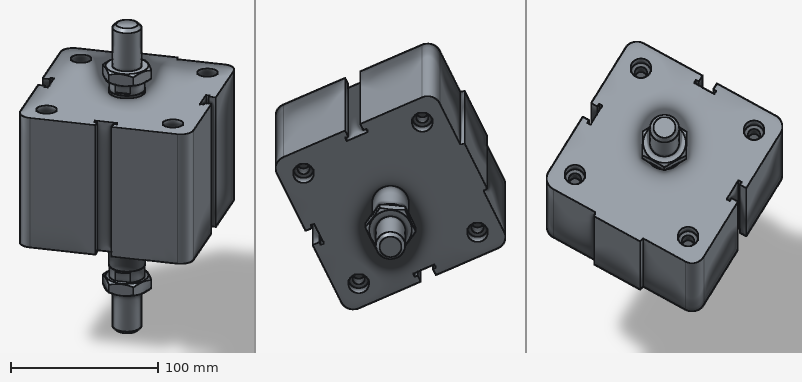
import cadquery as cq
import math

HOUSING_WIDTH = 122.0
HOUSING_HEIGHT = 96.3
CORNER_RADIUS = 9.0

RIB_HEIGHT = 3.0
RIB_BASE_WIDTH = 37.5
RIB_TOP_WIDTH = 36.2

SLOT_DEPTH = 7.5
SLOT_LIP = 5.0
SLOT_OPENING = 11.3
SLOT_INNER_WIDTH = 15.9

BOLT_SPACING = 89.0
BOLT_HOLE_DIAMETER = 8.4
COUNTERBORE_DIAMETER = 14.0
COUNTERBORE_DEPTH = 9.0
BOLT_HOLE_DEPTH = 19.3

ROD_LENGTH = 226.5
ROD_DIAMETER = 25.0
ROD_TOP_PROJECTION = 49.8
NECK_DIAMETER = 24.5
FLATS_WIDTH = 22.0
FLATS_LENGTH = 6.8
THREAD_DIAMETER = 20.0
THREAD_LENGTH = 39.9
SHOULDER_DISTANCE = 48.0
TIP_CHAMFER = 2.5

NUT_ACROSS_FLATS = 30.0
NUT_THICKNESS = 9.0
NUT_FACE_DIAMETER = 29.0
NUT_CHAMFER_ANGLE = 30.0

HALF_WIDTH = HOUSING_WIDTH / 2
ROD_TOP = HOUSING_HEIGHT + ROD_TOP_PROJECTION
ROD_MIDDLE = ROD_TOP - ROD_LENGTH / 2
NUT_ACROSS_CORNERS = NUT_ACROSS_FLATS / math.cos(math.radians(30))


def slot_cutter():
    """T-slot prism open at the -Y side, running the full housing height."""
    lip = cq.Workplane("XY").box(SLOT_OPENING, SLOT_LIP, HOUSING_HEIGHT, centered=(True, False, False))
    inner = (
        cq.Workplane("XY")
        .box(SLOT_INNER_WIDTH, SLOT_DEPTH - SLOT_LIP, HOUSING_HEIGHT, centered=(True, False, False))
        .translate((0, SLOT_LIP, 0))
    )
    return lip.union(inner).translate((0, -HALF_WIDTH, 0))


def bolt_holes_cutter():
    """Four blind counterbored holes sunk from the upper housing face."""
    at_corners = (
        cq.Workplane("XY", origin=(0, 0, HOUSING_HEIGHT))
        .rect(BOLT_SPACING, BOLT_SPACING, forConstruction=True)
        .vertices()
    )
    counterbores = at_corners.circle(COUNTERBORE_DIAMETER / 2).extrude(-COUNTERBORE_DEPTH)
    holes = at_corners.circle(BOLT_HOLE_DIAMETER / 2).extrude(-BOLT_HOLE_DEPTH)
    return counterbores.union(holes)


def make_housing():
    block = (
        cq.Workplane("XY")
        .box(HOUSING_WIDTH, HOUSING_WIDTH, HOUSING_HEIGHT, centered=(True, True, False))
        .edges("|Z")
        .fillet(CORNER_RADIUS)
    )
    rib = (
        cq.Workplane("XY")
        .polyline([
            (-RIB_BASE_WIDTH / 2, HALF_WIDTH),
            (-RIB_TOP_WIDTH / 2, HALF_WIDTH + RIB_HEIGHT),
            (RIB_TOP_WIDTH / 2, HALF_WIDTH + RIB_HEIGHT),
            (RIB_BASE_WIDTH / 2, HALF_WIDTH),
        ])
        .close()
        .extrude(HOUSING_HEIGHT)
    )
    housing = block.union(rib)

    for angle in (-90, 0, 90):
        housing = housing.cut(slot_cutter().rotate((0, 0, 0), (0, 0, 1), angle))

    upper_holes = bolt_holes_cutter()
    lower_holes = upper_holes.mirror("XY", (0, 0, HOUSING_HEIGHT / 2))
    housing = housing.cut(upper_holes).cut(lower_holes)

    return housing.cut(cq.Workplane("XY").circle(ROD_DIAMETER / 2).extrude(HOUSING_HEIGHT))


def neck_flats_cutter():
    """Block with a slab-shaped opening that trims the upper neck to its two flats."""
    top = ROD_TOP - THREAD_LENGTH
    cutter = cq.Workplane("XY").box(
        2 * ROD_DIAMETER, 2 * ROD_DIAMETER, FLATS_LENGTH, centered=(True, True, False)
    )
    slab = cq.Workplane("XY").box(
        2 * ROD_DIAMETER, FLATS_WIDTH, FLATS_LENGTH, centered=(True, True, False)
    )
    return cutter.cut(slab).translate((0, 0, top - FLATS_LENGTH))


def mirror_to_lower_end(shape):
    return shape.mirror("XY", (0, 0, ROD_MIDDLE))


def make_rod():
    upper_half = (
        cq.Workplane("XZ")
        .moveTo(0, ROD_MIDDLE)
        .lineTo(ROD_DIAMETER / 2, ROD_MIDDLE)
        .lineTo(ROD_DIAMETER / 2, ROD_TOP - SHOULDER_DISTANCE)
        .lineTo(NECK_DIAMETER / 2, ROD_TOP - SHOULDER_DISTANCE)
        .lineTo(NECK_DIAMETER / 2, ROD_TOP - THREAD_LENGTH)
        .lineTo(THREAD_DIAMETER / 2, ROD_TOP - THREAD_LENGTH)
        .lineTo(THREAD_DIAMETER / 2, ROD_TOP - TIP_CHAMFER)
        .lineTo(THREAD_DIAMETER / 2 - TIP_CHAMFER, ROD_TOP)
        .lineTo(0, ROD_TOP)
        .close()
        .revolve(360, (0, 0, 0), (0, 1, 0))
        .cut(neck_flats_cutter())
    )
    return upper_half.union(mirror_to_lower_end(upper_half))


def make_upper_nut():
    """Hexagon nut with corners on the X axis and both faces chamfered."""
    hexagon = cq.Workplane("XY").polygon(6, NUT_ACROSS_CORNERS).extrude(NUT_THICKNESS)

    corner_radius = NUT_ACROSS_CORNERS / 2
    face_radius = NUT_FACE_DIAMETER / 2
    bevel = (corner_radius - face_radius) * math.tan(math.radians(NUT_CHAMFER_ANGLE))
    turned = (
        cq.Workplane("XZ")
        .polyline([
            (0, 0),
            (face_radius, 0),
            (corner_radius, bevel),
            (corner_radius, NUT_THICKNESS - bevel),
            (face_radius, NUT_THICKNESS),
            (0, NUT_THICKNESS),
        ])
        .close()
        .revolve(360, (0, 0, 0), (0, 1, 0))
    )
    nut = hexagon.intersect(turned).faces(">Z").workplane(origin=(0, 0, 0)).hole(THREAD_DIAMETER)
    return nut.translate((0, 0, ROD_TOP - THREAD_LENGTH))


housing = make_housing()
rod = make_rod()
upper_nut = make_upper_nut()
nuts = [nut.val() for nut in (upper_nut, mirror_to_lower_end(upper_nut))]

result = cq.Compound.makeCompound([housing.val(), rod.val(), *nuts])